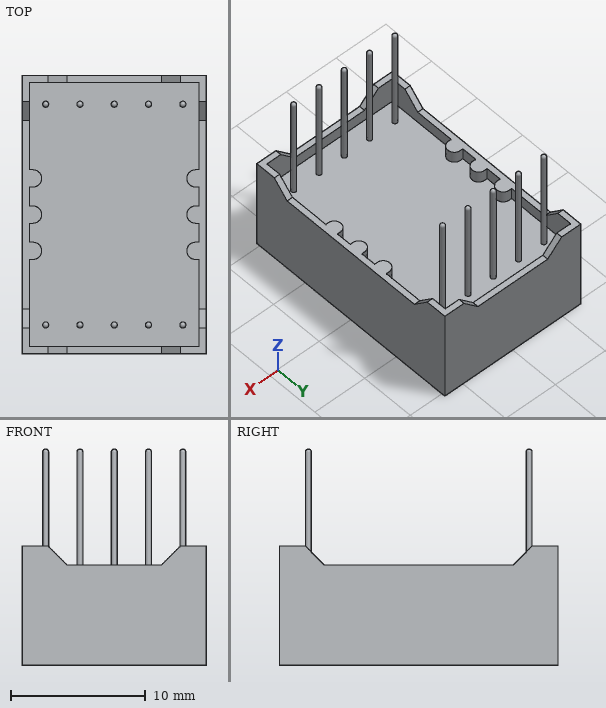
import cadquery as cq

case_length_x = 13.65
case_length_y = 20.65
case_height = 8.83
wall = 0.54

notch_depth = 1.4
notch_floor_x = 7.0
notch_floor_y = 13.97
rim_height = case_height - notch_depth

floor_below_rim = 1.1
floor_height = rim_height - floor_below_rim

lug_radius = 0.65
lug_pitch = 2.68
lugs_per_side = 3
lug_reach = 0.9

overall_height = 16.02
pin_radius = 0.23
pin_pitch = 2.54
pins_per_row = 5
pin_row_spacing = 16.35


def notch_cutter(plane, floor_width, through_length):
    """Symmetric trapezoidal prism, widening upward at 45 degrees."""
    half_floor = floor_width / 2
    half_top = half_floor + notch_depth
    return (
        cq.Workplane(plane)
        .polyline([
            (-half_floor, rim_height),
            (half_floor, rim_height),
            (half_top, case_height),
            (-half_top, case_height),
        ])
        .close()
        .extrude(through_length / 2, both=True)
    )


def make_case():
    block = cq.Workplane("XY").box(
        case_length_x, case_length_y, case_height, centered=(True, True, False)
    )
    cavity = (
        cq.Workplane("XY", origin=(0, 0, floor_height))
        .rect(case_length_x - 2 * wall, case_length_y - 2 * wall)
        .extrude(case_height - floor_height)
    )
    return (
        block.cut(cavity)
        .cut(notch_cutter("XZ", notch_floor_x, case_length_y))
        .cut(notch_cutter("YZ", notch_floor_y, case_length_x))
    )


def make_lugs():
    """Lugs on the left wall, mirrored onto the right wall."""
    outer_face_x = -case_length_x / 2
    nose_center_x = outer_face_x + wall + lug_reach - lug_radius
    root_x = outer_face_x + wall / 2
    left_lugs = (
        cq.Workplane("XY", origin=(0, 0, floor_height))
        .rarray(0.2, lug_pitch, 1, lugs_per_side)
        .eachpoint(
            lambda place: cq.Workplane("XY")
            .moveTo(root_x, -lug_radius)
            .lineTo(nose_center_x, -lug_radius)
            .threePointArc((nose_center_x + lug_radius, 0), (nose_center_x, lug_radius))
            .lineTo(root_x, lug_radius)
            .close()
            .extrude(floor_below_rim)
            .val()
            .moved(place)
        )
    )
    return left_lugs.union(left_lugs.mirror("YZ"))


def make_pins():
    """Two rows of pins rising from the case floor, each with a hemispherical tip."""
    root_height = floor_height - pin_radius
    shoulder_height = overall_height - pin_radius
    pin = (
        cq.Workplane("XZ")
        .moveTo(0, root_height)
        .lineTo(pin_radius, root_height)
        .lineTo(pin_radius, shoulder_height)
        .radiusArc((0, overall_height), -pin_radius)
        .close()
        .revolve(360, (0, 0, 0), (0, 1, 0))
        .val()
    )
    return (
        cq.Workplane("XY")
        .rarray(pin_pitch, pin_row_spacing, pins_per_row, 2)
        .eachpoint(lambda place: pin.moved(place))
    )


result = make_case().union(make_lugs()).union(make_pins())